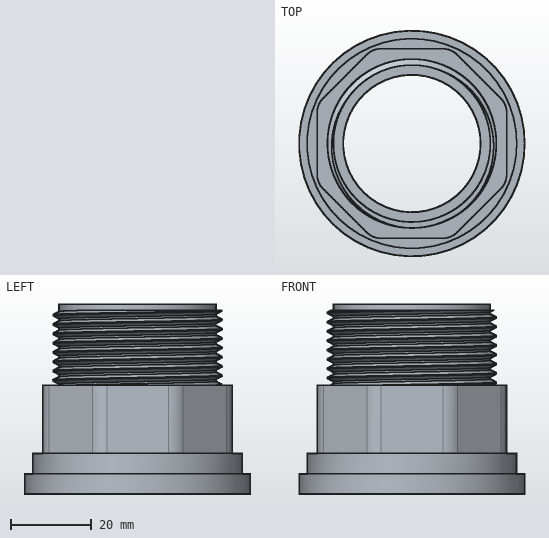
import cadquery as cq
import math

flange_diameter = 56.0
flange_height = 5.0
shoulder_diameter = 52.0
shoulder_top = 10.1

octagon_sides = 8
octagon_across_flats = 47.0
octagon_corner_radius = 5.0
octagon_top = 27.0

total_height = 47.1
bore_diameter = 34.0
thread_minor_diameter = 38.95
thread_major_diameter = 41.91
thread_pitch = 25.4 / 11
thread_base_width = 1.8
thread_crest_width = 0.25
plain_collar_height = 1.5
thread_turns = 10
thread_start_height = 25.3
thread_root_overlap = 0.1

thread_top = total_height - plain_collar_height


def cylinder(diameter, bottom, top):
    """Vertical cylinder on the Z axis between two heights."""
    return cq.Workplane("XY").workplane(offset=bottom).circle(diameter / 2).extrude(top - bottom)


def make_octagon():
    """Octagonal prism with flats facing the axes and rounded upright corners."""
    half_side_angle = 180 / octagon_sides
    across_corners = octagon_across_flats / math.cos(math.pi / octagon_sides)
    return (
        cq.Workplane("XY")
        .workplane(offset=shoulder_top)
        .transformed(rotate=(0, 0, half_side_angle))
        .polygon(octagon_sides, across_corners)
        .extrude(octagon_top - shoulder_top)
        .edges("|Z")
        .fillet(octagon_corner_radius)
    )


def make_thread():
    """Right-handed helical ridge, trimmed flat at both ends of the threaded length."""
    minor_radius = thread_minor_diameter / 2
    major_radius = thread_major_diameter / 2
    root_radius = minor_radius - thread_root_overlap
    half_base = thread_base_width / 2
    half_crest = thread_crest_width / 2
    flank_slope = (half_base - half_crest) / (major_radius - minor_radius)
    half_root = half_base + flank_slope * thread_root_overlap
    helix_height = thread_turns * thread_pitch

    helix = cq.Wire.makeHelix(thread_pitch, helix_height, minor_radius)
    ridge = (
        cq.Workplane("XZ")
        .moveTo(root_radius, -half_root)
        .lineTo(major_radius, -half_crest)
        .lineTo(major_radius, half_crest)
        .lineTo(root_radius, half_root)
        .close()
        .sweep(cq.Workplane(helix), isFrenet=True)
        .translate((0, 0, thread_start_height))
    )
    threaded_length = cylinder(flange_diameter, octagon_top, thread_top)
    return ridge.intersect(threaded_length)


flange = cylinder(flange_diameter, 0, flange_height)
shoulder = cylinder(shoulder_diameter, flange_height, shoulder_top)
spigot_core = cylinder(thread_minor_diameter, octagon_top, total_height)
bore = cylinder(bore_diameter, 0, total_height)

body = flange.union(shoulder).union(make_octagon()).union(spigot_core)
result = body.union(make_thread()).cut(bore)